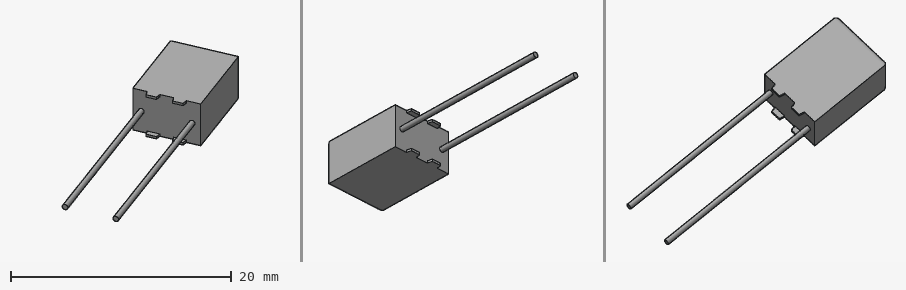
import cadquery as cq

total_length = 26.5
housing_width = 6.7
housing_height = 4.5
housing_length = 9.0
edge_radius = 0.5

foot_length = 0.53
foot_thickness = 0.25
foot_root_width = 1.27
foot_tip_width = 1.03
foot_spacing = 2.62

lead_diameter = 0.55
lead_spacing = 5.0

lead_length = total_length - housing_length
foot_root_half = foot_root_width / 2
foot_tip_half = foot_tip_width / 2


def make_foot(center_x, bottom_z):
    """Tapered foot that projects from the lead end toward -Y."""
    return (
        cq.Workplane("XY", origin=(center_x, 0, bottom_z))
        .moveTo(-foot_root_half, 0)
        .lineTo(-foot_tip_half, -foot_length)
        .lineTo(foot_tip_half, -foot_length)
        .lineTo(foot_root_half, 0)
        .close()
        .extrude(foot_thickness)
    )


def make_housing():
    """Box with a rounded closed end and four standoff feet at the lead end."""
    housing = (
        cq.Workplane("XY")
        .box(housing_width, housing_length, housing_height, centered=(True, False, True))
        .faces(">Y")
        .edges()
        .fillet(edge_radius)
    )
    top_foot_z = housing_height / 2 - foot_thickness
    bottom_foot_z = -housing_height / 2
    for center_x in (-foot_spacing / 2, foot_spacing / 2):
        for bottom_z in (bottom_foot_z, top_foot_z):
            housing = housing.union(make_foot(center_x, bottom_z))
    return housing


def make_lead(center_x):
    """Straight round wire that butts against the lead end of the housing."""
    return (
        cq.Workplane("XZ", origin=(center_x, 0, 0))
        .circle(lead_diameter / 2)
        .extrude(lead_length)
    )


housing = make_housing()
leads = [make_lead(side * lead_spacing / 2) for side in (-1, 1)]

result = cq.Compound.makeCompound([housing.val(), *[lead.val() for lead in leads]])